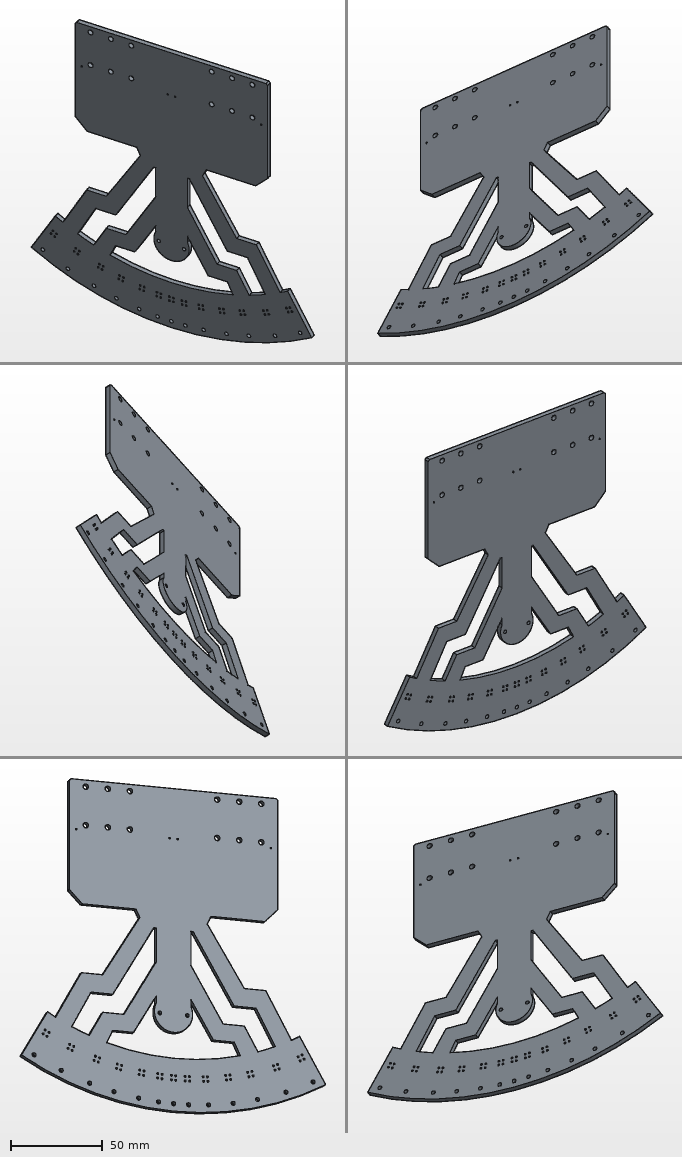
import cadquery as cq
import math

THICKNESS = 3.0

ARC_OUTER_RADIUS = 175.0
ARC_INNER_RADIUS = 145.0
ARC_HALF_ANGLE = 30.0
ARC_MIDDLE_RADIUS = (ARC_INNER_RADIUS + ARC_OUTER_RADIUS) / 2

PLATE_HALF_WIDTH = 60.0
PLATE_TOP = 8.0
PLATE_BOTTOM = -62.4
PLATE_TOP_CHAMFER = 1.0
PLATE_BOTTOM_CHAMFER = 7.4

NECK_HALF_WIDTH = 19.4
NECK_TOP_HALF_WIDTH = 21.7
NECK_BOTTOM = -67.0
CROTCH_HALF_WIDTH = 11.2
CROTCH_Z = -72.0
STEM_HALF_WIDTH = 10.0
STEM_DISC_Z = -119.3
STEM_DISC_RADIUS = 11.0

OUTER_STEP_TOP = -101.5
OUTER_STEP_BOTTOM = -112.0
OUTER_TOP_BENDS = (40.7, 53.0)
OUTER_BOTTOM_BENDS = (34.8, 47.4)
OUTER_FOOT = (58.5, 67.8)

INNER_ROOT_TOP = -91.4
INNER_ROOT_BOTTOM = -110.8
INNER_STEP_TOP = -122.8
INNER_STEP_BOTTOM = -132.5
INNER_TOP_BENDS = (28.5, 40.7)
INNER_BOTTOM_BENDS = (22.9, 34.9)
INNER_FOOT = (38.4, 48.5)

PLATE_HOLE_DIAMETER = 3.0
PLATE_HOLE_X = (25.1, 37.8, 50.5)
PLATE_HOLE_Z = (4.2, -17.6)
PIN_HOLE_DIAMETER = 0.8
PIN_HOLE_X = (2.3, 56.0)
PIN_HOLE_Z = -20.4
STEM_HOLE_DIAMETER = 2.0
STEM_HOLE_X = 7.9
STEM_HOLE_Z = -120.0
SIGHT_HOLE_DIAMETER = 2.2
SIGHT_HOLE_RADIUS = 170.75
LED_HOLE_DIAMETER = 1.0
LED_HOLE_PITCH = 2.54
LED_RADIUS = 156.1
MARKS = (0, 3, 7, 12, 17, 23, 29)
DEGREES_PER_DIVISION = 29 / 30


def mirrored(value):
    return (-value, value)


def arc_point(radius, angle):
    """Point on the arc, at an angle in degrees from straight down."""
    turn = math.radians(angle)
    return (radius * math.sin(turn), -radius * math.cos(turn))


def ring_point(x):
    """Point on the inner edge of the graduated arc at the given X."""
    return (x, -math.sqrt(ARC_INNER_RADIUS**2 - x**2))


def buried_point(foot_inner, foot_outer):
    """Point inside the arc, below the middle of a strut foot, so that strut and arc overlap."""
    angle = math.degrees(math.asin((foot_inner + foot_outer) / 2 / ARC_INNER_RADIUS))
    return arc_point(ARC_MIDDLE_RADIUS, angle)


def extruded(outline):
    """Solid of the board thickness, from Y = 0 to Y = THICKNESS."""
    return outline.extrude(-THICKNESS)


def sketch():
    return cq.Workplane("XZ")


def with_mirror(solid):
    return solid.union(solid.mirror("YZ"))


def graduated_arc():
    inner_left, inner_right = (arc_point(ARC_INNER_RADIUS, a) for a in mirrored(ARC_HALF_ANGLE))
    outer_left, outer_right = (arc_point(ARC_OUTER_RADIUS, a) for a in mirrored(ARC_HALF_ANGLE))
    return extruded(
        sketch()
        .moveTo(*outer_left)
        .threePointArc((0, -ARC_OUTER_RADIUS), outer_right)
        .lineTo(*inner_right)
        .threePointArc((0, -ARC_INNER_RADIUS), inner_left)
        .close()
    )


def head_plate():
    height = PLATE_TOP - PLATE_BOTTOM
    plate = extruded(
        sketch().center(0, (PLATE_TOP + PLATE_BOTTOM) / 2).rect(2 * PLATE_HALF_WIDTH, height)
    )
    plate = plate.edges("|Y and >Z").chamfer(PLATE_TOP_CHAMFER)
    return plate.edges("|Y and <Z").chamfer(PLATE_BOTTOM_CHAMFER)


def stem():
    shaft = extruded(
        sketch()
        .moveTo(-STEM_HALF_WIDTH, PLATE_BOTTOM)
        .lineTo(STEM_HALF_WIDTH, PLATE_BOTTOM)
        .lineTo(STEM_HALF_WIDTH, STEM_DISC_Z)
        .lineTo(-STEM_HALF_WIDTH, STEM_DISC_Z)
        .close()
    )
    disc = extruded(sketch().center(0, STEM_DISC_Z).circle(STEM_DISC_RADIUS))
    return shaft.union(disc)


def outer_struts():
    """Pair of stepped struts from the neck to the arc, with the neck shoulders."""
    foot_inner, foot_outer = OUTER_FOOT
    strut = sketch().polyline(
        [
            (0, PLATE_BOTTOM),
            (NECK_TOP_HALF_WIDTH, PLATE_BOTTOM),
            (NECK_HALF_WIDTH, NECK_BOTTOM),
            (OUTER_TOP_BENDS[0], OUTER_STEP_TOP),
            (OUTER_TOP_BENDS[1], OUTER_STEP_TOP),
            ring_point(foot_outer),
            buried_point(*OUTER_FOOT),
            ring_point(foot_inner),
            (OUTER_BOTTOM_BENDS[1], OUTER_STEP_BOTTOM),
            (OUTER_BOTTOM_BENDS[0], OUTER_STEP_BOTTOM),
            (CROTCH_HALF_WIDTH, CROTCH_Z),
            (0, CROTCH_Z),
        ]
    )
    return with_mirror(extruded(strut.close()))


def inner_struts():
    """Pair of stepped struts from the stem to the arc."""
    foot_inner, foot_outer = INNER_FOOT
    strut = sketch().polyline(
        [
            (0, INNER_ROOT_TOP),
            (STEM_HALF_WIDTH, INNER_ROOT_TOP),
            (INNER_TOP_BENDS[0], INNER_STEP_TOP),
            (INNER_TOP_BENDS[1], INNER_STEP_TOP),
            ring_point(foot_outer),
            buried_point(*INNER_FOOT),
            ring_point(foot_inner),
            (INNER_BOTTOM_BENDS[1], INNER_STEP_BOTTOM),
            (INNER_BOTTOM_BENDS[0], INNER_STEP_BOTTOM),
            (STEM_HALF_WIDTH, INNER_ROOT_BOTTOM),
            (0, INNER_ROOT_BOTTOM),
        ]
    )
    return with_mirror(extruded(strut.close()))


def drills(points, diameter):
    return extruded(sketch().pushPoints(points).circle(diameter / 2))


def plate_holes():
    points = [(x, z) for z in PLATE_HOLE_Z for size in PLATE_HOLE_X for x in mirrored(size)]
    return drills(points, PLATE_HOLE_DIAMETER)


def pin_holes():
    points = [(x, PIN_HOLE_Z) for size in PIN_HOLE_X for x in mirrored(size)]
    return drills(points, PIN_HOLE_DIAMETER)


def stem_holes():
    return drills([(x, STEM_HOLE_Z) for x in mirrored(STEM_HOLE_X)], STEM_HOLE_DIAMETER)


def mark_angles():
    divisions = sorted({side * mark for mark in MARKS for side in (-1, 1)})
    return [division * DEGREES_PER_DIVISION for division in divisions]


def sight_holes():
    return drills([arc_point(SIGHT_HOLE_RADIUS, angle) for angle in mark_angles()], SIGHT_HOLE_DIAMETER)


def led_holes():
    """Square groups of four holes, one group at each mark and turned to face the arc centre."""
    points = []
    for angle in mark_angles():
        turn = math.radians(angle)
        for across in mirrored(LED_HOLE_PITCH / 2):
            for outward in mirrored(LED_HOLE_PITCH / 2):
                radial = LED_RADIUS + outward
                x = radial * math.sin(turn) + across * math.cos(turn)
                z = -radial * math.cos(turn) + across * math.sin(turn)
                points.append((x, z))
    return drills(points, LED_HOLE_DIAMETER)


board = head_plate().union(stem()).union(outer_struts()).union(inner_struts()).union(graduated_arc())
for holes in (plate_holes(), pin_holes(), stem_holes(), sight_holes(), led_holes()):
    board = board.cut(holes)

result = board